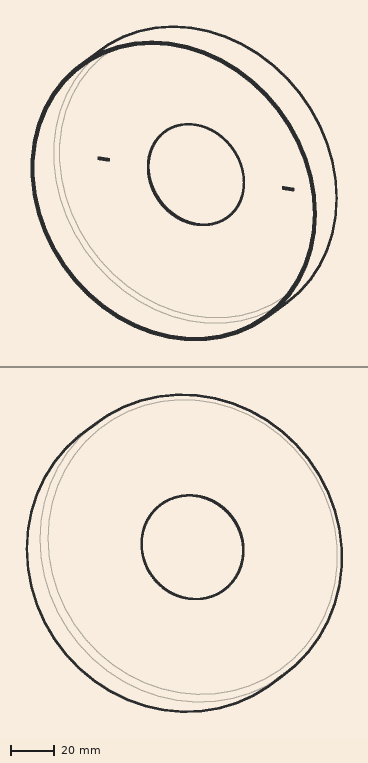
import cadquery as cq

outer_diameter = 145.0
cup_depth = 25.0
sheet_thickness = 1.0
bend_outer_radius = 3.0
bore_diameter = 49.0
mark_length = 5.2
mark_width = 0.7
mark_depth = 0.2
mark_center_distance = 47.0
mark_center_z = 0.4

outer_radius = outer_diameter / 2
inner_radius = outer_radius - sheet_thickness
bend_inner_radius = bend_outer_radius - sheet_thickness
floor_inner_y = cup_depth - sheet_thickness


def disc(radius, y_start, y_end):
    """Solid cylinder along Y between two positions."""
    plane = cq.Workplane("XZ", origin=(0, y_start, 0))
    return plane.circle(radius).extrude(y_start - y_end)


def make_cup():
    """Pressed cup, open towards -Y, with concentric rounds at the floor bend."""
    shell = disc(outer_radius, 0, cup_depth).faces(">Y").edges().fillet(bend_outer_radius)
    cavity = disc(inner_radius, 0, floor_inner_y).faces(">Y").edges().fillet(bend_inner_radius)
    return shell.cut(cavity)


def make_alignment_mark(side):
    """Cutter for a shallow horizontal groove in the inner floor face."""
    groove_size = (mark_length, mark_depth, mark_width)
    mark = cq.Workplane("XY").box(*groove_size, centered=(True, False, True))
    return mark.translate((side * mark_center_distance, floor_inner_y, mark_center_z))


result = make_cup().cut(disc(bore_diameter / 2, 0, cup_depth))
for side in (-1, 1):
    result = result.cut(make_alignment_mark(side))